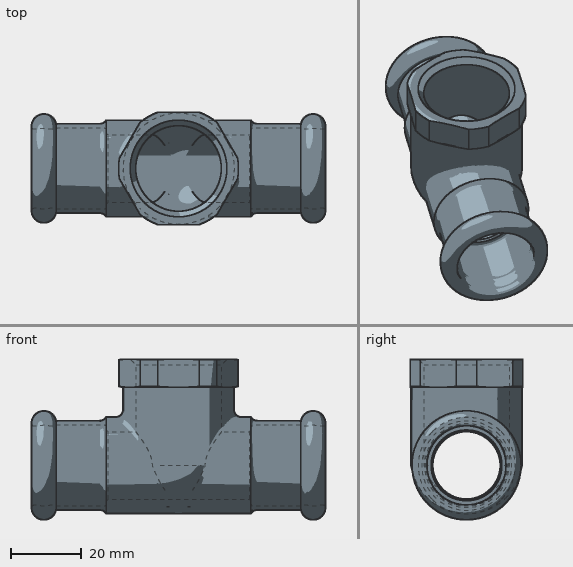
import cadquery as cq
import math

RUN_LENGTH = 83.0
RUN_END = RUN_LENGTH / 2
BODY_RADIUS = 27.3 / 2
BODY_HALF_LENGTH = 20.4
TUBE_RADIUS = 25.3 / 2
RUN_BORE_RADIUS = 19.0 / 2

BEAD_RADIUS = 30.8 / 2
BEAD_WIDTH = 7.05
BEAD_ROUND = BEAD_WIDTH / 2
BEAD_CENTRE = RUN_END - BEAD_ROUND

MOUTH_RADIUS = 22.3 / 2
LIP_ROUND = BEAD_RADIUS - BEAD_ROUND - MOUTH_RADIUS
SOCKET_RADIUS = 22.9 / 2
SOCKET_DEPTH = RUN_END - BODY_HALF_LENGTH
SEAL_WIDTH = 3.2
SEAL_DEPTH = 0.25
RELIEF_START = 6.15
RELIEF_END = 7.8
STOP_FILLET = 0.7
STOP_CHAMFER = 0.5

OVERALL_HEIGHT = 45.4
BRANCH_TOP = OVERALL_HEIGHT - BEAD_RADIUS
BRANCH_RADIUS = 31.4 / 2
BRANCH_BORE_RADIUS = 24.15 / 2
BRANCH_MOUTH_RADIUS = 27.3 / 2
MOUTH_CHAMFER_DEPTH = 1.6

HEX_FLATS = 31.8
HEX_CORNER_RADIUS = 16.9
HEX_HEIGHT = 8.0
HEX_CHAMFER_HEIGHT = 0.25

CAST_RADIUS = 2.0
BLEND_BOTTOM = -11.6

QUARTER_MID = 1 - math.sqrt(0.5)


def arc_drop(radius, run):
    """Distance an arc leaves its tangent after the given length along the tangent."""
    return radius - math.sqrt(radius**2 - run**2)


def run_outside():
    """Body, shoulder, tube and end bead turned about X, mirrored to both ends."""
    step = BODY_RADIUS - TUBE_RADIUS
    shoulder = math.sqrt(CAST_RADIUS**2 - (CAST_RADIUS - step) ** 2)
    shoulder_end = BODY_HALF_LENGTH + shoulder
    shoulder_mid = (
        shoulder_end - shoulder / 2,
        TUBE_RADIUS + arc_drop(CAST_RADIUS, shoulder / 2),
    )
    bead_base = BEAD_RADIUS - BEAD_ROUND
    profile = (
        cq.Workplane("XY")
        .lineTo(0, BODY_RADIUS)
        .lineTo(BODY_HALF_LENGTH, BODY_RADIUS)
        .threePointArc(shoulder_mid, (shoulder_end, TUBE_RADIUS))
        .lineTo(RUN_END - BEAD_WIDTH, TUBE_RADIUS)
        .lineTo(RUN_END - BEAD_WIDTH, bead_base)
        .threePointArc((BEAD_CENTRE, BEAD_RADIUS), (RUN_END, bead_base))
        .lineTo(RUN_END, 0)
        .close()
    )
    half = profile.revolve(360, (0, 0, 0), (1, 0, 0))
    return half.union(half.mirror("YZ"))


def run_inside():
    """Run bore with both sockets: rounded lip, seal groove, relief and pipe stop."""
    stop = RUN_END - SOCKET_DEPTH
    fillet_mid = STOP_FILLET * QUARTER_MID
    lip_mid = LIP_ROUND * QUARTER_MID
    relief_start = RUN_END - RELIEF_START
    relief_end = RUN_END - RELIEF_END
    relief_length = relief_start - relief_end
    relief_drop = SOCKET_RADIUS - MOUTH_RADIUS
    relief_radius = (relief_length**2 + relief_drop**2) / (2 * relief_drop)
    relief_mid = (
        relief_end + relief_length / 2,
        SOCKET_RADIUS - arc_drop(relief_radius, relief_length / 2),
    )
    profile = (
        cq.Workplane("XY")
        .lineTo(0, RUN_BORE_RADIUS)
        .lineTo(stop - STOP_CHAMFER, RUN_BORE_RADIUS)
        .lineTo(stop, RUN_BORE_RADIUS + STOP_CHAMFER)
        .lineTo(stop, SOCKET_RADIUS - STOP_FILLET)
        .threePointArc(
            (stop + fillet_mid, SOCKET_RADIUS - fillet_mid),
            (stop + STOP_FILLET, SOCKET_RADIUS),
        )
        .lineTo(relief_end, SOCKET_RADIUS)
        .threePointArc(relief_mid, (relief_start, MOUTH_RADIUS))
        .lineTo(BEAD_CENTRE - SEAL_WIDTH / 2, MOUTH_RADIUS)
        .threePointArc(
            (BEAD_CENTRE, MOUTH_RADIUS + SEAL_DEPTH),
            (BEAD_CENTRE + SEAL_WIDTH / 2, MOUTH_RADIUS),
        )
        .lineTo(RUN_END - LIP_ROUND, MOUTH_RADIUS)
        .threePointArc(
            (RUN_END - lip_mid, MOUTH_RADIUS + lip_mid),
            (RUN_END, MOUTH_RADIUS + LIP_ROUND),
        )
        .lineTo(RUN_END, 0)
        .close()
    )
    half = profile.revolve(360, (0, 0, 0), (1, 0, 0))
    return half.union(half.mirror("YZ"))


def domed_column(radius, dome_depth):
    """Upright cylinder from z = 0 to the branch top, closed below by a spherical cap."""
    sphere_radius = (radius**2 + dome_depth**2) / (2 * dome_depth)
    half_radius = radius / 2
    dome_mid = (half_radius, arc_drop(sphere_radius, half_radius) - dome_depth)
    return (
        cq.Workplane("XZ")
        .moveTo(0, -dome_depth)
        .threePointArc(dome_mid, (radius, 0))
        .lineTo(radius, BRANCH_TOP)
        .lineTo(0, BRANCH_TOP)
        .close()
        .revolve(360, (0, 0, 0), (0, 1, 0))
    )


def blended_body():
    """Plain body cylinder and branch column with their seam filleted."""
    body = cq.Workplane("YZ").circle(BODY_RADIUS).extrude(BODY_HALF_LENGTH, both=True)
    rough = body.union(domed_column(BRANCH_RADIUS, BODY_RADIUS))
    above = (
        cq.Workplane("XY", origin=(0, 0, BLEND_BOTTOM))
        .rect(RUN_LENGTH, RUN_LENGTH)
        .extrude(RUN_LENGTH)
    )
    lower = rough.cut(above)
    upper = rough.intersect(above)
    return upper.edges("%BSPLINE").fillet(CAST_RADIUS).union(lower)


def hexagon():
    """Hexagon with flats facing Y, its corners turned round and slightly chamfered."""
    base = cq.Workplane("XY", origin=(0, 0, BRANCH_TOP - HEX_HEIGHT))
    prism = base.polygon(6, HEX_FLATS, circumscribed=True).extrude(HEX_HEIGHT)
    prism = prism.rotate((0, 0, 0), (0, 0, 1), 90)
    chamfer_width = HEX_CORNER_RADIUS - HEX_FLATS / 2
    blank = (
        base.circle(HEX_CORNER_RADIUS)
        .extrude(HEX_HEIGHT)
        .faces("<Z or >Z")
        .chamfer(HEX_CHAMFER_HEIGHT, chamfer_width)
    )
    return prism.intersect(blank)


def branch_inside():
    """Branch bore with a spherical floor and a chamfered mouth."""
    bore = domed_column(BRANCH_BORE_RADIUS, RUN_BORE_RADIUS)
    mouth = cq.Solid.makeCone(
        BRANCH_BORE_RADIUS,
        BRANCH_MOUTH_RADIUS,
        MOUTH_CHAMFER_DEPTH,
        pnt=cq.Vector(0, 0, BRANCH_TOP - MOUTH_CHAMFER_DEPTH),
    )
    return bore.union(cq.Workplane(mouth))


outside = blended_body().union(run_outside()).union(hexagon())
result = outside.cut(run_inside()).cut(branch_inside())